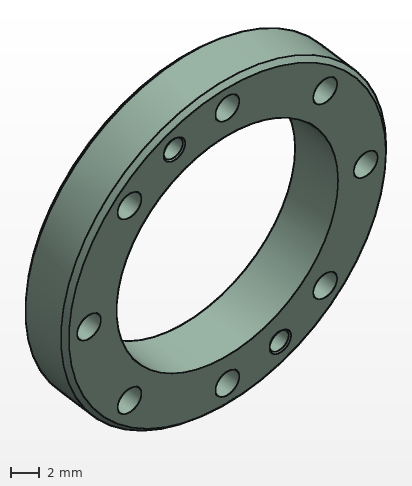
import cadquery as cq
import math

outer_diameter = 30.0
bore_diameter = 20.4
thickness = 4.5
rim_chamfer = 0.4

pitch_radius = 12.75
bolt_count = 8
bolt_hole_diameter = 2.2
bolt_spacing = 360.0 / bolt_count
pin_hole_diameter = 1.75
pin_hole_chamfer = 0.12
pin_angle = bolt_spacing / 2


def pitch_point(angle):
    """Point on the pitch circle as (Y, Z), at an angle in degrees from +Z towards -Y."""
    turn = math.radians(angle)
    return (-pitch_radius * math.sin(turn), pitch_radius * math.cos(turn))


def make_ring():
    """Chamfered disc with a plain bore, centred on the origin."""
    left_face = cq.Workplane("YZ", origin=(-thickness / 2, 0, 0))
    disc = left_face.circle(outer_diameter / 2).extrude(thickness)
    disc = disc.faces("<X or >X").chamfer(rim_chamfer)
    bore = left_face.circle(bore_diameter / 2).extrude(thickness)
    return disc.cut(bore)


def make_bolt_holes():
    """Plain through holes, evenly spaced on the pitch circle."""
    left_face = cq.Workplane("YZ", origin=(-thickness / 2, 0, 0))
    centres = [pitch_point(i * bolt_spacing) for i in range(bolt_count)]
    return left_face.pushPoints(centres).circle(bolt_hole_diameter / 2).extrude(thickness)


def make_pin_hole(angle):
    """Through hole with a small chamfer at both faces, made by revolving half its section."""
    y, z = pitch_point(angle)
    radius = pin_hole_diameter / 2
    mouth_radius = radius + pin_hole_chamfer
    half_length = thickness / 2
    straight_end = half_length - pin_hole_chamfer
    section = (
        cq.Workplane("XY")
        .moveTo(-half_length, 0)
        .lineTo(-half_length, mouth_radius)
        .lineTo(-straight_end, radius)
        .lineTo(straight_end, radius)
        .lineTo(half_length, mouth_radius)
        .lineTo(half_length, 0)
        .close()
    )
    return section.revolve(360, (0, 0, 0), (1, 0, 0)).translate((0, y, z))


result = make_ring().cut(make_bolt_holes())
for angle in (pin_angle, pin_angle + 180):
    result = result.cut(make_pin_hole(angle))